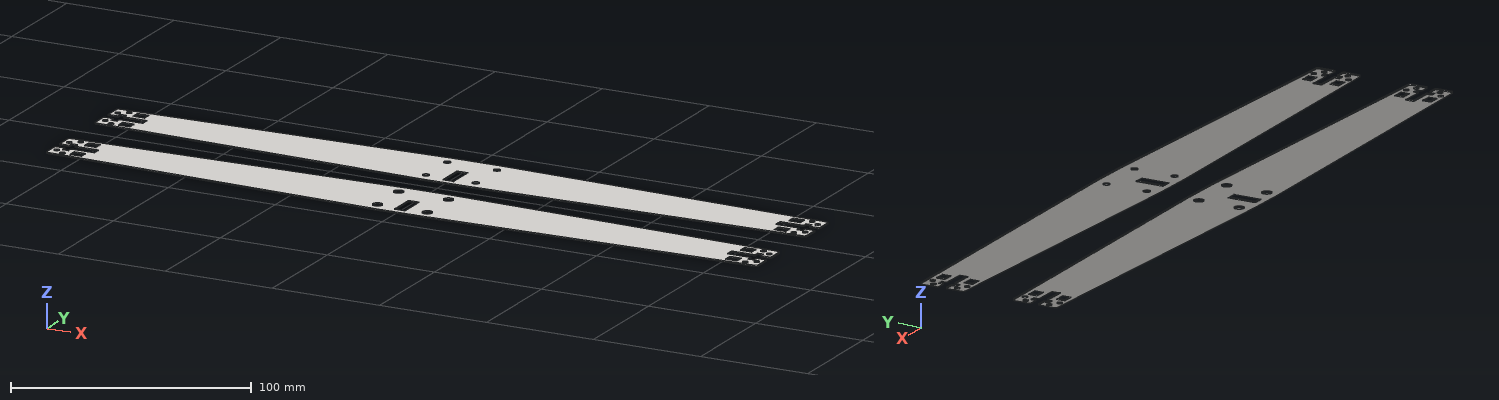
import cadquery as cq

LENGTH = 332.2
THICKNESS = 0.6
TOTAL_WIDTH = 74.7
MIDDLE_WIDTH = 30.5
MIDDLE_FLAT_LENGTH = 20.0
END_WIDTH = 21.0
CORNER_RADIUS = 1.0
PLATE_OFFSET = (TOTAL_WIDTH - MIDDLE_WIDTH) / 2

SLOT_LENGTH = 18.3
SLOT_WIDTH = 4.0
NOTCH_LENGTH = 2.5
NOTCH_WIDTH = 8.5
NOTCH_INSET = 6.0

WINDOW_LENGTH = 5.3
WINDOW_WIDTH = 4.0
WINDOW_INSET = 13.0
WINDOW_OFFSET = 6.5

SMALL_HOLE_DIAMETER = 2.3
OUTER_HOLE_INSET = 2.5
OUTER_HOLE_OFFSET = 5.5
INNER_HOLE_INSET = 6.5
INNER_HOLE_OFFSET = 8.3

MIDDLE_WINDOW_LENGTH = 5.0
MIDDLE_WINDOW_WIDTH = 13.0
MIDDLE_WINDOW_OFFSET = 5.5
MOUNT_SPACING_X = 23.3
MOUNT_SPACING_Y = 19.3
REAR_MOUNT_DIAMETER = 3.0
FRONT_MOUNT_DIAMETER = 4.3

CUT_HEIGHT = 4 * THICKNESS


def mirrored(x, y):
    """Four points mirrored about both centre lines of a plate."""
    return [(sx * x, sy * y) for sx in (-1, 1) for sy in (-1, 1)]


def box_cutter(length, width, points):
    return cq.Workplane().pushPoints(points).rect(length, width).extrude(CUT_HEIGHT, both=True)


def hole_cutter(diameter, points):
    return cq.Workplane().pushPoints(points).circle(diameter / 2).extrude(CUT_HEIGHT, both=True)


def blank():
    """Plate outline that tapers from the middle to both ends, with rounded end corners."""
    end_x = LENGTH / 2
    middle_x = MIDDLE_FLAT_LENGTH / 2
    half_end = END_WIDTH / 2
    half_middle = MIDDLE_WIDTH / 2
    upper_edge = [
        (-end_x, half_end),
        (-middle_x, half_middle),
        (middle_x, half_middle),
        (end_x, half_end),
    ]
    lower_edge = [(x, -y) for x, y in reversed(upper_edge)]
    outline = cq.Workplane().polyline(upper_edge + lower_edge).close()
    plate = outline.extrude(THICKNESS / 2, both=True)
    end_corners = plate.faces("<X or >X").edges("|Z")
    return end_corners.fillet(CORNER_RADIUS)


def cut_ends(plate):
    """Cut the slots, windows and small holes of both ends."""
    end_x = LENGTH / 2
    slot_x = end_x - SLOT_LENGTH / 2
    notch_x = end_x - NOTCH_INSET
    plate = plate.cut(box_cutter(SLOT_LENGTH, SLOT_WIDTH, [(-slot_x, 0), (slot_x, 0)]))
    plate = plate.cut(box_cutter(NOTCH_LENGTH, NOTCH_WIDTH, [(-notch_x, 0), (notch_x, 0)]))
    windows = mirrored(end_x - WINDOW_INSET, WINDOW_OFFSET)
    plate = plate.cut(box_cutter(WINDOW_LENGTH, WINDOW_WIDTH, windows))
    outer_holes = mirrored(end_x - OUTER_HOLE_INSET, OUTER_HOLE_OFFSET)
    inner_holes = mirrored(end_x - INNER_HOLE_INSET, INNER_HOLE_OFFSET)
    return plate.cut(hole_cutter(SMALL_HOLE_DIAMETER, outer_holes + inner_holes))


def cut_middle(plate, mount_diameter):
    """Cut the middle window and the four mounting holes."""
    window = [(0, -MIDDLE_WINDOW_OFFSET)]
    plate = plate.cut(box_cutter(MIDDLE_WINDOW_LENGTH, MIDDLE_WINDOW_WIDTH, window))
    mounts = mirrored(MOUNT_SPACING_X / 2, MOUNT_SPACING_Y / 2)
    return plate.cut(hole_cutter(mount_diameter, mounts))


def make_plate(mount_diameter, offset_y):
    plate = cut_middle(cut_ends(blank()), mount_diameter)
    return plate.translate((0, offset_y, 0))


rear_plate = make_plate(REAR_MOUNT_DIAMETER, PLATE_OFFSET)
front_plate = make_plate(FRONT_MOUNT_DIAMETER, -PLATE_OFFSET)

result = cq.Compound.makeCompound([rear_plate.val(), front_plate.val()])